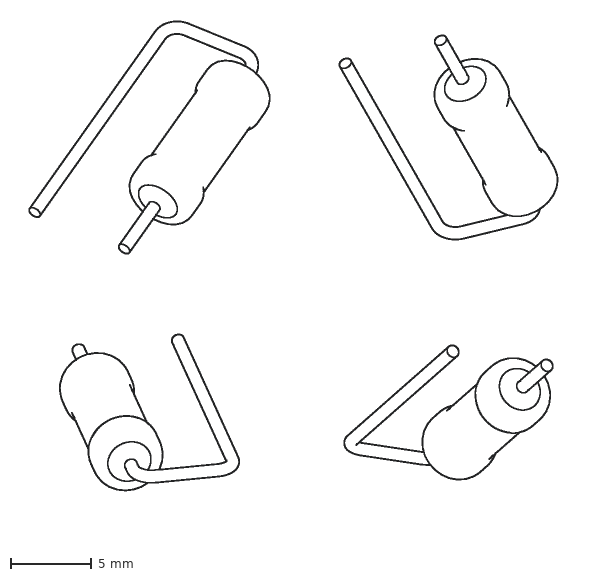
import cadquery as cq

wire_radius = 0.4
lead_pitch = 6.35
overall_length = 18.15
bend_radius = 1.2
wire_top = overall_length - wire_radius
bend_start = wire_top - bend_radius

body_middle = 9.95
barrel_radius = 2.01
barrel_half_length = 3.09
cap_radius = 2.25
flare_half_length = 3.75
rim_half_length = 4.83
face_half_length = 5.5
face_radius = 1.69
cone_radius = 1.38
body_half_length = 5.95

flare_mid_radius = (barrel_radius + cap_radius) / 2
flare_mid_half_length = (barrel_half_length + flare_half_length) / 2


def make_half_body(side):
    """Revolve one half of the body; side is +1 or -1 along Y."""

    def at(radius, half_length):
        return (radius, body_middle + side * half_length)

    profile = (
        cq.Workplane("XY")
        .moveTo(*at(0, 0))
        .lineTo(*at(barrel_radius, 0))
        .lineTo(*at(barrel_radius, barrel_half_length))
        .tangentArcPoint(at(flare_mid_radius, flare_mid_half_length), relative=False)
        .tangentArcPoint(at(cap_radius, flare_half_length), relative=False)
        .lineTo(*at(cap_radius, rim_half_length))
        .spline(
            [at(face_radius, face_half_length)],
            tangents=[(0, side), (-1, 0)],
            includeCurrent=True,
        )
        .lineTo(*at(cone_radius, face_half_length))
        .lineTo(*at(wire_radius, body_half_length))
        .lineTo(*at(0, body_half_length))
        .close()
    )
    return profile.revolve(360, (0, 0, 0), (0, 1, 0))


def make_wire():
    """Sweep the round wire up through the body, across and back down."""
    path = (
        cq.Workplane("XY")
        .lineTo(0, bend_start)
        .tangentArcPoint((-bend_radius, wire_top), relative=False)
        .lineTo(-lead_pitch + bend_radius, wire_top)
        .tangentArcPoint((-lead_pitch, bend_start), relative=False)
        .lineTo(-lead_pitch, 0)
    )
    return cq.Workplane("XZ").circle(wire_radius).sweep(path)


result = make_half_body(1).union(make_half_body(-1)).union(make_wire())